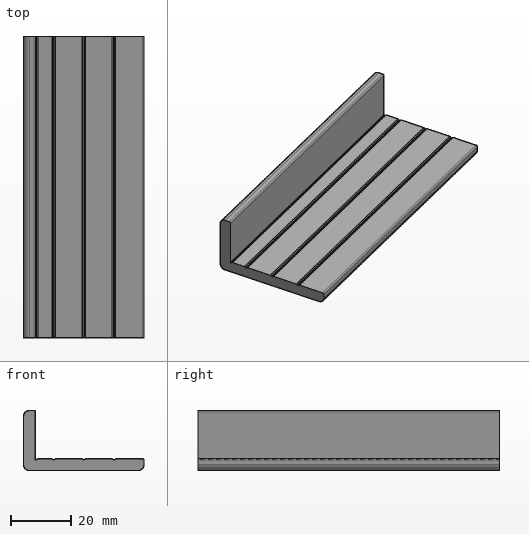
import cadquery as cq

width = 40.0
length = 100.0
height = 20.0
thickness = 4.0

outer_radius = 2.0
inner_radius = 0.5

groove_width = 1.2
groove_bottom_width = 0.4
groove_depth = 0.3
groove_pitch = 10.0
groove_count = 3
relief_width = 0.8
relief_bottom_width = 0.3
relief_depth = 0.3


def angle_bar():
    """L-shaped bar running along Y, with its free edges and heel rounded."""
    bar = (
        cq.Workplane("XZ")
        .polyline([
            (0, 0),
            (width, 0),
            (width, thickness),
            (thickness, thickness),
            (thickness, height),
            (0, height),
        ])
        .close()
        .extrude(-length)
    )
    for x, z in [(0, 0), (width, 0), (0, height)]:
        bar = round_edge(bar, x, z, outer_radius)
    for x, z in [(width, thickness), (thickness, height)]:
        bar = round_edge(bar, x, z, inner_radius)
    return bar


def round_edge(bar, x, z, radius):
    """Fillet the lengthwise edge at the given profile corner."""
    edge = cq.selectors.NearestToPointSelector((x, length / 2, z))
    return bar.edges("|Y").edges(edge).fillet(radius)


def floor_cutter(profile):
    """Lengthwise cutter with the given (x, z) profile."""
    return cq.Workplane("XZ").polyline(profile).close().extrude(-length)


def groove(x):
    """Cutter for a flat-bottomed groove with sloping sides, centred at x."""
    bottom = thickness - groove_depth
    return floor_cutter([
        (x - groove_width / 2, thickness),
        (x - groove_bottom_width / 2, bottom),
        (x + groove_bottom_width / 2, bottom),
        (x + groove_width / 2, thickness),
    ])


def corner_relief():
    """Cutter for the shallow relief beside the upright leg, sloping up to the floor."""
    bottom = thickness - relief_depth
    return floor_cutter([
        (thickness, thickness),
        (thickness, bottom),
        (thickness + relief_bottom_width, bottom),
        (thickness + relief_width, thickness),
    ])


result = angle_bar().cut(corner_relief())
for index in range(groove_count):
    result = result.cut(groove((index + 1) * groove_pitch))